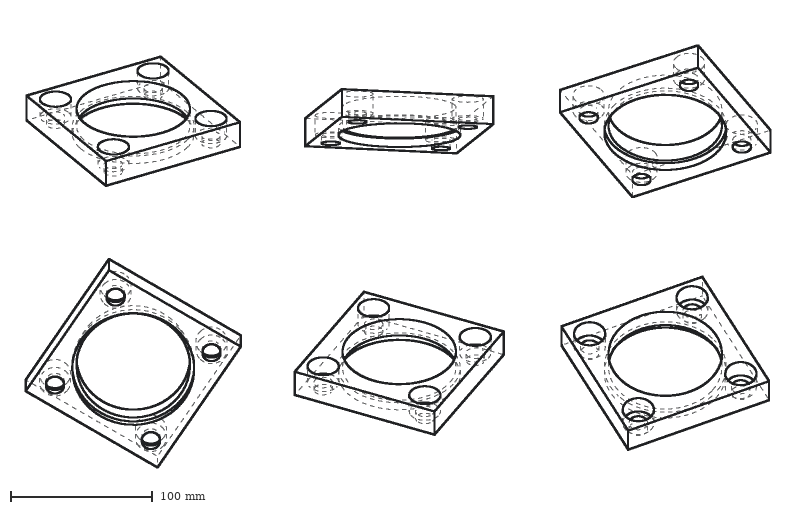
import cadquery as cq

plate_side = 110.0
plate_thickness = 20.0

bore_diameter = 80.0
recess_diameter = 86.0
recess_depth = 6.0

hole_spacing = 80.0
hole_diameter = 13.0
counterbore_diameter = 22.0
counterbore_depth = 14.0

plate = cq.Workplane("XY").box(
    plate_side, plate_side, plate_thickness, centered=(True, True, False)
)

bore = cq.Workplane("XY").circle(bore_diameter / 2).extrude(plate_thickness)
recess = cq.Workplane("XY").circle(recess_diameter / 2).extrude(recess_depth)

result = (
    plate.cut(bore)
    .cut(recess)
    .faces(">Z")
    .workplane()
    .rect(hole_spacing, hole_spacing, forConstruction=True)
    .vertices()
    .cboreHole(hole_diameter, counterbore_diameter, counterbore_depth)
)